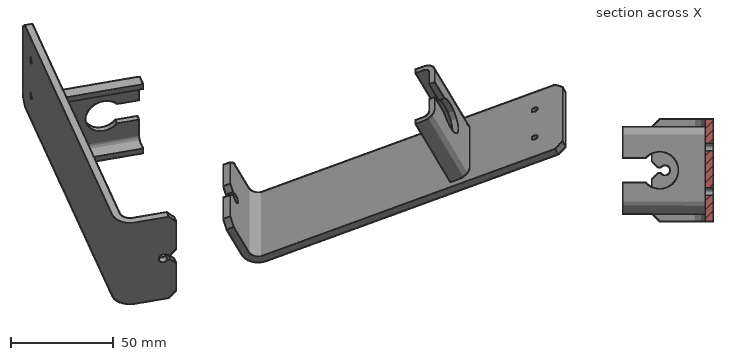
import cadquery as cq

length = 170.0
height = 50.0
strip_thickness = 3.9
corner_chamfer = 3.9
bend_outer_radius = 9.0
bend_inner_radius = bend_outer_radius - strip_thickness
flange_reach = 30.0

mount_hole_diameter = 3.2
mount_hole_x = 15.0
mount_hole_spacing = 21.6
mount_hole_offset = 0.5

keyhole_y = 23.5
keyhole_radius = 2.4
neck_width = 2.5
mouth_width = 8.7
mouth_depth = (mouth_width - neck_width) / 2

post_x = 49.8
post_depth = 10.4
post_height = 42.5
post_reach = 44.0
post_wall = 3.0
post_outer_radius = 6.1
post_inner_radius = post_outer_radius - post_wall

opening_y = 26.0
opening_radius = 9.0
opening_slot_width = 11.7


def make_strip():
    """L-shaped strip centred on Z = 0, with its outer face on Y = 0."""
    inner_x = length - strip_thickness
    strip = (
        cq.Workplane("XY")
        .moveTo(0, 0)
        .lineTo(length - bend_outer_radius, 0)
        .radiusArc((length, bend_outer_radius), -bend_outer_radius)
        .lineTo(length, flange_reach)
        .lineTo(inner_x, flange_reach)
        .lineTo(inner_x, bend_outer_radius)
        .radiusArc((length - bend_outer_radius, strip_thickness), bend_inner_radius)
        .lineTo(0, strip_thickness)
        .close()
        .extrude(height / 2, both=True)
    )
    strip = strip.faces("<X").edges("|Y").chamfer(corner_chamfer)
    return strip.faces(">Y").edges("|X").chamfer(corner_chamfer)


def make_mount_holes():
    """Cutters for the two holes through the free end of the strip."""
    half_spacing = mount_hole_spacing / 2
    return (
        cq.Workplane("XZ")
        .center(mount_hole_x, mount_hole_offset)
        .pushPoints([(0, -half_spacing), (0, half_spacing)])
        .circle(mount_hole_diameter / 2)
        .extrude(-strip_thickness)
    )


def make_keyhole():
    """Cutter for the round hole, neck and flared mouth in the flange."""
    flange_plane = cq.Workplane("YZ", origin=(length - strip_thickness, 0, 0))
    hole = flange_plane.center(keyhole_y, 0).circle(keyhole_radius).extrude(strip_thickness)
    half_neck = neck_width / 2
    half_mouth = mouth_width / 2
    neck_end = flange_reach - mouth_depth
    mouth = (
        flange_plane
        .polyline([
            (keyhole_y, -half_neck),
            (neck_end, -half_neck),
            (flange_reach, -half_mouth),
            (flange_reach, half_mouth),
            (neck_end, half_neck),
            (keyhole_y, half_neck),
        ])
        .close()
        .extrude(strip_thickness)
    )
    return hole.union(mouth)


def make_rounded_bar(x_start, bar_height, radius):
    """Bar along Y from the strip to the post tip, with its two -X edges rounded."""
    return (
        cq.Workplane("XY")
        .box(
            post_x + post_depth - x_start,
            post_reach - strip_thickness,
            bar_height,
            centered=(False, False, True),
        )
        .translate((x_start, strip_thickness, 0))
        .faces("<X")
        .edges("|Y")
        .fillet(radius)
    )


def make_post():
    """Channel open towards +X, with the slotted round opening through its web."""
    outer = make_rounded_bar(post_x, post_height, post_outer_radius)
    inner = make_rounded_bar(post_x + post_wall, post_height - 2 * post_wall, post_inner_radius)
    web_plane = cq.Workplane("YZ", origin=(post_x, 0, 0))
    opening = web_plane.center(opening_y, 0).circle(opening_radius).extrude(post_depth)
    slot_length = post_reach - opening_y
    slot = (
        web_plane
        .center(opening_y + slot_length / 2, 0)
        .rect(slot_length, opening_slot_width)
        .extrude(post_depth)
    )
    return outer.cut(inner).cut(opening).cut(slot)


strip = make_strip().cut(make_mount_holes()).cut(make_keyhole())
result = strip.union(make_post())